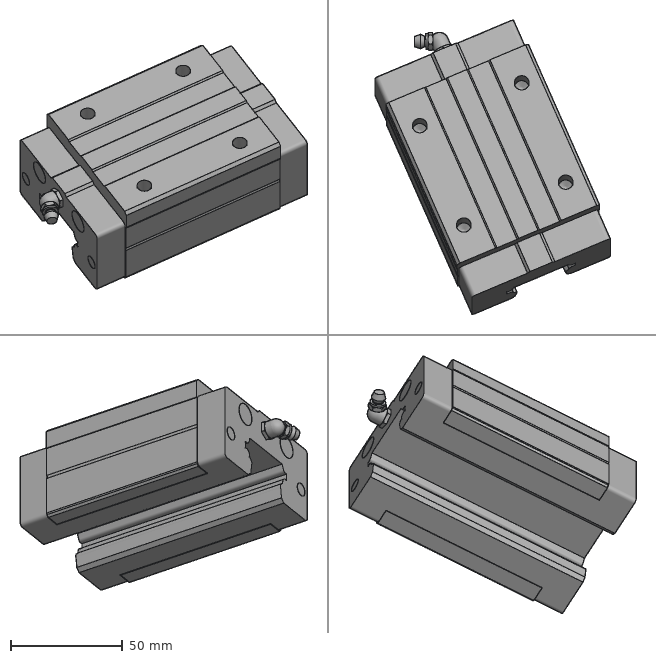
import cadquery as cq
import math


block_length = 80.9
cap_length = 14.6
front_face_y = -(block_length / 2 + cap_length)
body_length = block_length + 2 * cap_length

block_height = 46.0
block_half_width = 35.0
top_chamfer = 1.5
flange_bottom = 35.9
flank_half_width = 34.6
foot_bevels = [(34.6, 1.8), (34.4, 1.1), (33.5, 0.0)]
foot_inner_x = 26.1
foot_drop = 0.4

top_groove_inner = 5.5
top_groove_outer = 15.4
top_groove_depth = 0.7
side_groove_z = 20.9
side_groove_half_width = 0.79
side_groove_depth = 0.2

cap_half_width = 34.0
cap_top = 37.7
cap_corner_radius = 2.0
ridge_height = 1.2
ridge_top_half_width = 5.5
ridge_foot_half_width = 6.7
recess_depth = 0.1
plug_z = 31.1
plug_x = 17.0
plug_diameter = 10.5
screw_z = 14.9
screw_x = 28.9
screw_diameter = 6.2

hole_spacing = 50.0
hole_diameter = 6.6
hole_depth = 10.0
drill_point_angle = 118

channel_ceiling = 20.3
channel_ceiling_half = 13.2
race_wall_x = 16.8
race_top = 16.8
race_bottom = 13.5
race_edge_x = 15.9
ceiling_slope_end = (14.3, 17.8)
upper_lobe_middle = (14.9, 17.1)
lower_lobe_middle = (14.3, 12.7)
lobe_x = 13.7
lobe_end_z = 11.0
lobe_step_z = 10.4
throat_top = (12.2, 9.0)
throat_middle = (11.8, 8.2)
throat_bottom = (12.0, 7.1)
leg_chamfer_top = (12.7, 2.2)
leg_chamfer_bottom_x = 14.5

nipple_z = 31.0
base_hex_flats = 8.0
base_hex_length = 1.8
base_hex_chamfer_length = 0.2
elbow_radius = base_hex_flats / 2
elbow_length = 3.5
arm_tilt = 22.5
arm_hex_flats = 7.2
arm_hex_start = 2.9
arm_hex_end = 5.2
arm_hex_chamfer_length = 0.5
collar_end = 6.2
neck_radius = 2.5
neck_end = 6.8
head_radius = 3.3
head_end = 8.5
tip_radius = 2.3
tip_end = 11.3


def extrude_along_rail(outline, length):
    """Extrude an XZ outline symmetrically about mid-length."""
    return outline.extrude(length / 2, both=True)


def block():
    outline = (
        cq.Workplane("XZ")
        .moveTo(0, block_height)
        .lineTo(block_half_width - top_chamfer, block_height)
        .lineTo(block_half_width, block_height - top_chamfer)
        .lineTo(block_half_width, flange_bottom)
        .lineTo(flank_half_width, flange_bottom)
        .lineTo(flank_half_width, side_groove_z + side_groove_half_width)
        .threePointArc(
            (flank_half_width - side_groove_depth, side_groove_z),
            (flank_half_width, side_groove_z - side_groove_half_width),
        )
    )
    for point in foot_bevels:
        outline = outline.lineTo(*point)
    outline = (
        outline.lineTo(foot_inner_x, 0)
        .lineTo(foot_inner_x, foot_drop)
        .lineTo(0, foot_drop)
        .mirrorY()
    )
    return extrude_along_rail(outline, block_length)


def top_groove(side):
    """Shallow groove with 45-degree walls along the top of the block."""
    floor = block_height - top_groove_depth
    outline = (
        cq.Workplane("XZ")
        .moveTo(side * top_groove_inner, floor)
        .lineTo(side * (top_groove_inner - top_groove_depth), block_height)
        .lineTo(side * (top_groove_outer + top_groove_depth), block_height)
        .lineTo(side * top_groove_outer, floor)
        .close()
    )
    return extrude_along_rail(outline, block_length)


def end_cap_bar():
    """Bar of end-cap section over the full length; its middle lies inside the block."""
    bar = (
        cq.Workplane("XY")
        .box(2 * cap_half_width, body_length, cap_top - foot_drop, centered=(True, True, False))
        .translate((0, 0, foot_drop))
        .edges("|Y")
        .fillet(cap_corner_radius)
    )
    ridge = (
        cq.Workplane("XZ")
        .moveTo(-ridge_foot_half_width, cap_top)
        .lineTo(-ridge_top_half_width, cap_top + ridge_height)
        .lineTo(ridge_top_half_width, cap_top + ridge_height)
        .lineTo(ridge_foot_half_width, cap_top)
        .close()
    )
    return bar.union(extrude_along_rail(ridge, body_length))


def rail_channel():
    outline = (
        cq.Workplane("XZ")
        .moveTo(0, channel_ceiling)
        .lineTo(channel_ceiling_half, channel_ceiling)
        .lineTo(*ceiling_slope_end)
        .threePointArc(upper_lobe_middle, (race_edge_x, race_top))
        .lineTo(race_wall_x, race_top)
        .lineTo(race_wall_x, race_bottom)
        .lineTo(race_edge_x, race_bottom)
        .threePointArc(lower_lobe_middle, (lobe_x, lobe_end_z))
        .lineTo(lobe_x, lobe_step_z)
        .lineTo(*throat_top)
        .threePointArc(throat_middle, throat_bottom)
        .lineTo(*leg_chamfer_top)
        .lineTo(leg_chamfer_bottom_x, foot_drop)
        .lineTo(leg_chamfer_bottom_x, 0)
        .lineTo(0, 0)
        .mirrorY()
    )
    return extrude_along_rail(outline, body_length)


def mounting_hole(x, y):
    """Blind drilled hole with a conical bottom."""
    radius = hole_diameter / 2
    point_depth = radius / math.tan(math.radians(drill_point_angle / 2))
    return (
        cq.Workplane("XZ")
        .moveTo(0, 0)
        .lineTo(radius, 0)
        .lineTo(radius, -hole_depth)
        .lineTo(0, -hole_depth - point_depth)
        .close()
        .revolve(360, (0, 0, 0), (0, 1, 0))
        .translate((x, y, block_height))
    )


def face_recess(x, z, diameter):
    """Shallow round recess in the front face of the front cap."""
    return (
        cq.Workplane("XZ", origin=(x, front_face_y, z))
        .circle(diameter / 2)
        .extrude(-recess_depth)
    )


def make_carriage():
    body = block()
    for side in (-1, 1):
        body = body.cut(top_groove(side))
    body = body.union(end_cap_bar()).cut(rail_channel())
    for side in (-1, 1):
        body = body.cut(face_recess(side * plug_x, plug_z, plug_diameter))
        body = body.cut(face_recess(side * screw_x, screw_z, screw_diameter))
        for end in (-1, 1):
            body = body.cut(mounting_hole(side * hole_spacing / 2, end * hole_spacing / 2))
    return body


def revolve_about_x(points):
    """Solid of revolution about X from (distance, radius) points."""
    return cq.Workplane("XY").polyline(points).close().revolve(360, (0, 0, 0), (1, 0, 0))


def hexagon_along_x(flats, start, end, rear_chamfer, front_chamfer):
    """Hexagonal prism along X with its corners coned down to the flats at each end.

    A chamfer length of zero leaves the corners at that end sharp.
    """
    flat_radius = flats / 2
    corner_radius = flats / math.sqrt(3)
    prism = (
        cq.Workplane("YZ", origin=(start, 0, 0))
        .polygon(6, 2 * corner_radius)
        .extrude(end - start)
    )
    envelope = [(start, 0)]
    if rear_chamfer > 0:
        envelope.append((start, flat_radius))
    envelope.append((start + rear_chamfer, corner_radius))
    envelope.append((end - front_chamfer, corner_radius))
    if front_chamfer > 0:
        envelope.append((end, flat_radius))
    envelope.append((end, 0))
    return prism.intersect(revolve_about_x(envelope))


def nipple_arm():
    """Hexagon, collar, neck and tapered head along +X, with the elbow centre at the origin."""
    hexagon = hexagon_along_x(
        arm_hex_flats, arm_hex_start, arm_hex_end, arm_hex_chamfer_length, arm_hex_chamfer_length
    )
    collar_radius = arm_hex_flats / 2
    collar_and_head = revolve_about_x([
        (0, 0),
        (0, neck_radius),
        (arm_hex_end, neck_radius),
        (arm_hex_end, collar_radius),
        (collar_end, collar_radius),
        (collar_end, neck_radius),
        (neck_end, neck_radius),
        (head_end, head_radius),
        (tip_end, tip_radius),
        (tip_end, 0),
    ])
    return hexagon.union(collar_and_head)


def make_nipple():
    elbow_y = front_face_y - base_hex_length - elbow_length
    base_hex = (
        hexagon_along_x(base_hex_flats, 0, base_hex_length, 0, base_hex_chamfer_length)
        .rotate((0, 0, 0), (1, 0, 0), 90)
        .rotate((0, 0, 0), (0, 0, 1), -90)
        .translate((0, front_face_y, nipple_z))
    )
    shank = (
        cq.Workplane("XZ", origin=(0, front_face_y, nipple_z))
        .circle(elbow_radius)
        .extrude(base_hex_length + elbow_length)
    )
    ball = cq.Workplane("XY", origin=(0, elbow_y, nipple_z)).sphere(elbow_radius)
    arm = (
        nipple_arm()
        .rotate((0, 0, 0), (0, 0, 1), -arm_tilt)
        .translate((0, elbow_y, nipple_z))
    )
    return base_hex.union(shank).union(ball).union(arm)


carriage = make_carriage()
nipple = make_nipple()

result = cq.Compound.makeCompound([carriage.solids().val(), nipple.solids().val()])